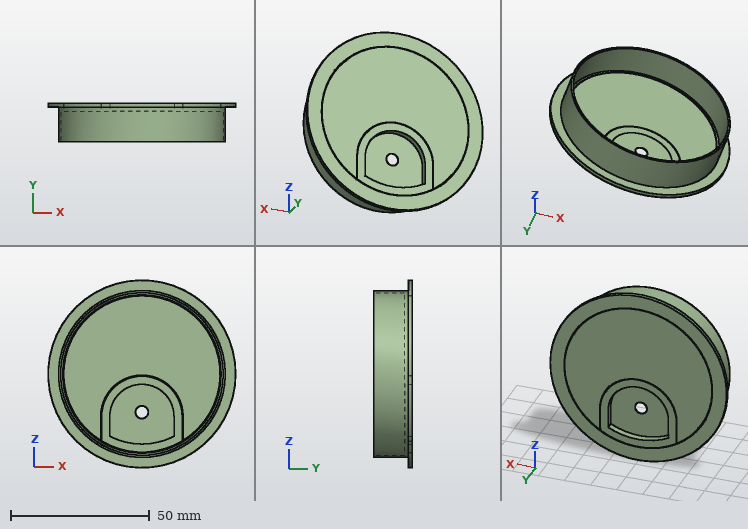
import cadquery as cq


flange_radius = 33.75
flange_thickness = 1.5
sleeve_radius = 30.0
sleeve_bore_radius = 29.25
ring_depth = 14.0
lip_thickness = 3.0
lip_bore_radius = 28.4

clearance = 0.2
plate_thickness = lip_thickness
cover_radius = lip_bore_radius - clearance
opening_radius = 14.75
opening_center_z = -15.25
insert_radius = opening_radius - clearance

cable_hole_radius = 2.25
cable_hole_z = -13.75
pocket_rim = 3.0
pocket_floor = 0.2


def disc(radius, depth):
    """Cylinder from Y = 0 to Y = -depth, centred on the ring axis."""
    return cq.Workplane("XZ").circle(radius).extrude(depth)


def arch(radius, depth):
    """Round-topped prism whose straight sides run down past the cover's edge."""
    return (
        cq.Workplane("XZ")
        .moveTo(-radius, -flange_radius)
        .lineTo(-radius, opening_center_z)
        .threePointArc((0, opening_center_z + radius), (radius, opening_center_z))
        .lineTo(radius, -flange_radius)
        .close()
        .extrude(depth)
    )


def make_ring():
    """Flanged sleeve with an inner lip that surrounds the plates."""
    body = disc(flange_radius, flange_thickness).union(disc(sleeve_radius, ring_depth))
    sleeve_bore = disc(sleeve_bore_radius, ring_depth).cut(disc(sleeve_bore_radius, lip_thickness))
    return body.cut(sleeve_bore).cut(disc(lip_bore_radius, ring_depth))


def make_cover():
    """Round plate with an arched opening for the insert."""
    return disc(cover_radius, plate_thickness).cut(arch(opening_radius, plate_thickness))


def make_insert():
    """Arched plate that fills the cover's opening."""
    body = disc(cover_radius, plate_thickness).intersect(arch(insert_radius, plate_thickness))
    pocket_depth = plate_thickness - pocket_floor
    pocket = disc(cover_radius - pocket_rim, pocket_depth).intersect(
        arch(insert_radius - pocket_rim, pocket_depth)
    )
    cable_hole = (
        cq.Workplane("XZ")
        .center(0, cable_hole_z)
        .circle(cable_hole_radius)
        .extrude(plate_thickness)
    )
    return body.cut(pocket).cut(cable_hole)


ring = make_ring()
cover = make_cover()
insert = make_insert()

result = cq.Compound.makeCompound([ring.val(), cover.val(), insert.val()])